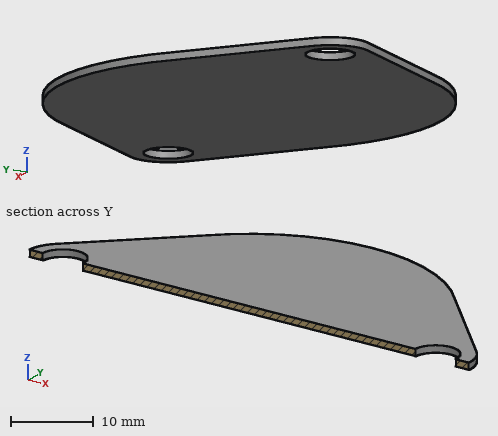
import cadquery as cq
import math

length = 65.95
body_diameter = 50.0
thickness = 1.0
hole_diameter = 6.0
ear_radius = 5.0
flank_start_x = 18.7

body_radius = body_diameter / 2
hole_offset = length / 2 - ear_radius

flank_angle = math.acos((body_radius - ear_radius) / hole_offset)
body_x = flank_start_x
body_y = math.sqrt(body_radius**2 - body_x**2)
ear_x = hole_offset + ear_radius * math.cos(flank_angle)
ear_y = ear_radius * math.sin(flank_angle)

plate = (
    cq.Workplane("XY")
    .moveTo(-body_x, body_y)
    .threePointArc((0, body_radius), (body_x, body_y))
    .lineTo(ear_x, ear_y)
    .threePointArc((length / 2, 0), (ear_x, -ear_y))
    .lineTo(body_x, -body_y)
    .threePointArc((0, -body_radius), (-body_x, -body_y))
    .lineTo(-ear_x, -ear_y)
    .threePointArc((-length / 2, 0), (-ear_x, ear_y))
    .close()
    .extrude(thickness)
)

result = (
    plate.faces(">Z")
    .workplane(origin=(0, 0, thickness))
    .pushPoints([(-hole_offset, 0), (hole_offset, 0)])
    .hole(hole_diameter)
)